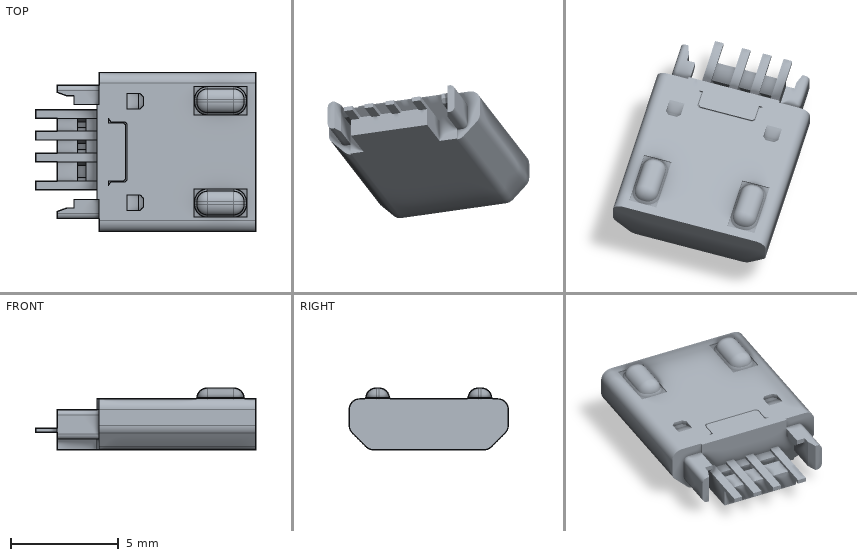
import cadquery as cq
import math


shell_length = 7.3
shell_width = 7.4
shell_height = 2.38
edge_radius = 0.5
flank_bottom_half_width = 2.77

insert_overhang = 0.1
insert_top_half_width = 2.2
insert_half_width = 2.6

ear_length = 1.95
ear_outer_y = 3.11
ear_bottom = 0.5
ear_top = 1.88
ear_radius = 0.25
ear_tip_inner_y = 2.77
ear_taper_length = 0.45
tab_length = 1.17
tab_bottom = 1.46
tab_chamfer = 0.18

pin_length = 2.95
pin_width = 0.41
pin_bottom = 0.81
pin_top = 1.01
pin_centres = (1.76, 0.76, -0.26, -1.56)
block_length = ear_length
block_height = 0.88
notch_rear_x = -0.99
notch_front_x = -0.62
notch_depth = 0.41
notch_wall_run = 0.16

ramp_window_start = 1.29
ramp_window_end = 2.06
ramp_window_width = 0.72
ramp_window_centre_y = 2.36
ramp_end = 1.85
ramp_window_depth = 0.2
ramp_window_chamfer = 0.15

tongue_start = 0.43
tongue_end = 1.24
tongue_half_width = 1.35
groove_side_width = 0.04
groove_end_width = 0.07
groove_corner = 0.1
groove_flare_length = 0.12
groove_flare_width = 0.16
groove_depth = 0.1

bump_window_start = 4.41
bump_window_length = 2.48
bump_window_width = 1.31
bump_window_depth = 0.06
bump_centre_y = 2.38
bump_height = 0.5
bump_ridge_length = 1.22
bump_ridge_width = 0.12
bump_radius = 0.49
bump_arc_angle = math.radians(85)
bump_skirt_run = 0.1


def box(x_min, x_max, y_min, y_max, z_min, z_max):
    size = (x_max - x_min, y_max - y_min, z_max - z_min)
    return cq.Workplane("XY").box(*size, centered=False).translate((x_min, y_min, z_min))


def make_shell():
    """Flat-topped bar with 45 degree lower flanks and rounded long edges."""
    half_width = shell_width / 2
    flank_top = half_width - flank_bottom_half_width
    return (
        cq.Workplane("YZ")
        .moveTo(-flank_bottom_half_width, 0)
        .lineTo(flank_bottom_half_width, 0)
        .lineTo(half_width, flank_top)
        .lineTo(half_width, shell_height)
        .lineTo(-half_width, shell_height)
        .lineTo(-half_width, flank_top)
        .close()
        .extrude(shell_length)
        .edges("|X")
        .fillet(edge_radius)
    )


def make_insert():
    """Rear plate, narrower above the tabs than below them."""
    lower = box(-insert_overhang, 0, -insert_half_width, insert_half_width, 0, tab_bottom)
    upper = box(-insert_overhang, 0, -insert_top_half_width, insert_top_half_width, tab_bottom, shell_height)
    return lower.union(upper)


def make_ear():
    """Ear on the +Y side, tapered inside at the tip, with its inward tab."""
    blade = (
        cq.Workplane("XY")
        .workplane(offset=ear_bottom)
        .moveTo(0, ear_outer_y)
        .lineTo(-ear_length, ear_outer_y)
        .lineTo(-ear_length, ear_tip_inner_y)
        .lineTo(-ear_length + ear_taper_length, insert_half_width)
        .lineTo(0, insert_half_width)
        .close()
        .extrude(ear_top - ear_bottom)
        .edges("|X and >Y")
        .fillet(ear_radius)
    )
    tab_outer_y = (insert_half_width + ear_outer_y) / 2
    tab = (
        box(-tab_length, 0, insert_top_half_width, tab_outer_y, tab_bottom, ear_top)
        .edges("<X and <Z")
        .chamfer(tab_chamfer)
    )
    return blade.union(tab)


def make_notch(y_low, y_high):
    """Trough across the gap between two pins, with sloped side walls."""
    floor = block_height - notch_depth
    return (
        cq.Workplane("YZ")
        .workplane(offset=notch_rear_x)
        .moveTo(y_low, block_height)
        .lineTo(y_low + notch_wall_run, floor)
        .lineTo(y_high - notch_wall_run, floor)
        .lineTo(y_high, block_height)
        .close()
        .extrude(notch_front_x - notch_rear_x)
    )


def make_contacts():
    """Block spanning the pin row, notched between pins that run along its top."""
    half_pin = pin_width / 2
    contacts = box(
        -block_length, 0, pin_centres[-1] - half_pin, pin_centres[0] + half_pin, 0, block_height
    )
    for upper_y, lower_y in zip(pin_centres, pin_centres[1:]):
        contacts = contacts.cut(make_notch(lower_y + half_pin, upper_y - half_pin))
    for y in pin_centres:
        contacts = contacts.union(box(-pin_length, 0, y - half_pin, y + half_pin, pin_bottom, pin_top))
    return contacts


def make_ramp_window(centre_y):
    """Window whose floor ramps down from the surface and then runs level."""
    floor = shell_height - ramp_window_depth
    return (
        cq.Workplane("XZ")
        .moveTo(ramp_window_start, shell_height)
        .lineTo(ramp_end, floor)
        .lineTo(ramp_window_end, floor)
        .lineTo(ramp_window_end, shell_height)
        .close()
        .extrude(ramp_window_width / 2, both=True)
        .edges("|Z and >X")
        .chamfer(ramp_window_chamfer)
        .translate((0, centre_y, 0))
    )


def tongue_outline(end_x, half_width):
    """Solid plan of the tongue, from its root to end_x, with clipped far corners."""
    return (
        box(tongue_start, end_x, -half_width, half_width, shell_height - groove_depth, shell_height)
        .edges("|Z and >X")
        .chamfer(groove_corner)
    )


def make_latch_groove():
    """Thin U-shaped groove, flared outward at both open ends."""
    outer_half_width = tongue_half_width + groove_side_width
    groove = tongue_outline(tongue_end + groove_end_width, outer_half_width)
    groove = groove.cut(tongue_outline(tongue_end, tongue_half_width))
    flare = (
        cq.Workplane("XY")
        .workplane(offset=shell_height - groove_depth)
        .moveTo(tongue_start, tongue_half_width)
        .lineTo(tongue_start + groove_flare_length, tongue_half_width)
        .lineTo(tongue_start + groove_flare_length, outer_half_width)
        .lineTo(tongue_start, outer_half_width + groove_flare_width)
        .close()
        .extrude(groove_depth)
    )
    return groove.union(flare).union(flare.mirror("XZ"))


def bump_profile(ridge_half, plane):
    """Half section of a bump: flat ridge, round shoulder and a skirt flared out to the floor."""
    drop = bump_height + bump_window_depth
    arc_run = bump_radius * math.sin(bump_arc_angle)
    arc_drop = bump_radius * (1 - math.cos(bump_arc_angle))
    mid_run = bump_radius * math.sin(bump_arc_angle / 2)
    mid_drop = bump_radius * (1 - math.cos(bump_arc_angle / 2))
    profile = cq.Workplane(plane).moveTo(0, 0).lineTo(0, drop)
    if ridge_half > 0:
        profile = profile.lineTo(ridge_half, drop)
    return (
        profile.threePointArc(
            (ridge_half + mid_run, drop - mid_drop),
            (ridge_half + arc_run, drop - arc_drop),
        )
        .lineTo(ridge_half + arc_run + bump_skirt_run, 0)
        .close()
    )


def make_bump():
    """Ridge with the same rounded fall-off on its sides, ends and four corners."""
    half_length = bump_ridge_length / 2
    half_width = bump_ridge_width / 2
    side = bump_profile(half_width, "YZ").extrude(half_length, both=True)
    end = bump_profile(half_length, "XZ").extrude(half_width, both=True)
    bump = side.union(side.mirror("XZ")).union(end).union(end.mirror("YZ"))
    corner = bump_profile(0, "XZ").revolve(360, (0, 0), (0, 1))
    for x in (-half_length, half_length):
        for y in (-half_width, half_width):
            bump = bump.union(corner.translate((x, y, 0)))
    return bump


def make_bump_window(centre_y):
    """Shallow rectangular recess around a bump."""
    half_width = bump_window_width / 2
    return box(
        bump_window_start,
        bump_window_start + bump_window_length,
        centre_y - half_width,
        centre_y + half_width,
        shell_height - bump_window_depth,
        shell_height,
    )


result = make_shell().union(make_insert()).union(make_contacts())

ear = make_ear()
result = result.union(ear).union(ear.mirror("XZ"))

bump_centre_x = bump_window_start + bump_window_length / 2
bump = make_bump().translate((bump_centre_x, 0, shell_height - bump_window_depth))
for side in (-1, 1):
    result = result.cut(make_ramp_window(side * ramp_window_centre_y))
    result = result.cut(make_bump_window(side * bump_centre_y))
    result = result.union(bump.translate((0, side * bump_centre_y, 0)))

result = result.cut(make_latch_groove())